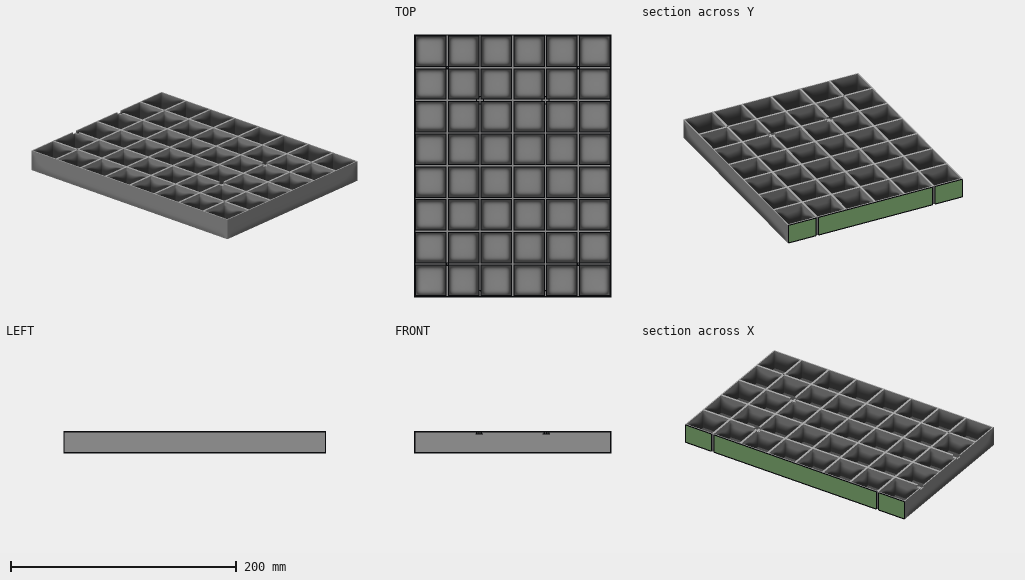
import cadquery as cq

pitch = 29.0
columns = 6
rows = 8
wall = 2.0
height = 18.8
floor = 0.6

length_x = columns * pitch
length_y = rows * pitch
cell = pitch - wall

pin_hole_diameter = 1.8
pin_x = length_x / 2 - pitch
pin_y = length_y / 2 - pitch

recess_diameter = 6.5
recess_depth = 2.0
recess_bottom = height - recess_depth

rear_recess_x = pitch
rear_recess_y = 2 * pitch

front_recess_x = 29.8
front_recess_inset = 2.3
front_recess_y = front_recess_inset - length_y / 2


def make_tray():
    """Block with an open-topped compartment in every cell of the grid.

    Neighbouring compartments share a full wall; the outer walls are half as thick.
    """
    block = cq.Workplane("XY").box(length_x, length_y, height, centered=(True, True, False))
    compartments = (
        cq.Workplane("XY", origin=(0, 0, floor))
        .rarray(pitch, pitch, columns, rows)
        .rect(cell, cell)
        .extrude(height - floor)
    )
    return block.cut(compartments)


def mirrored_cylinders(x, y_positions, diameter, bottom):
    """Cylinders at +x and -x for each y, reaching from bottom up to the rim."""
    centers = [(side * x, y) for side in (-1, 1) for y in y_positions]
    return (
        cq.Workplane("XY", origin=(0, 0, bottom))
        .pushPoints(centers)
        .circle(diameter / 2)
        .extrude(height - bottom)
    )


pin_holes = mirrored_cylinders(pin_x, (-pin_y, pin_y), pin_hole_diameter, 0)
rear_recesses = mirrored_cylinders(rear_recess_x, (rear_recess_y,), recess_diameter, recess_bottom)
front_recesses = mirrored_cylinders(front_recess_x, (front_recess_y,), recess_diameter, recess_bottom)

result = make_tray().cut(pin_holes).cut(rear_recesses).cut(front_recesses)